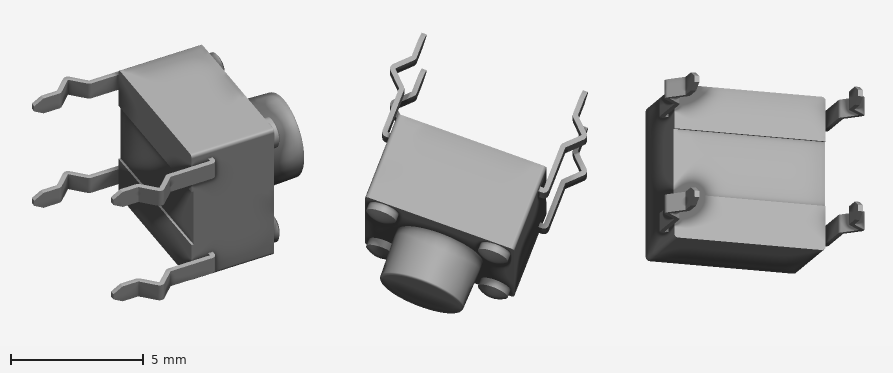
import cadquery as cq
import math


body_size = 6.0
body_height = 3.5
cover_thickness = 0.2
corner_radius = 0.15
groove_width = 2.53
groove_depth = 0.09

button_height = 2.0
button_base_radius = 1.75
button_draft = 2.0
button_edge_radius = 0.08

corner_pitch = 4.5
stud_radius = 0.6
stud_wall_height = 0.3
stud_height = 0.5

leg_span = 7.9
leg_thickness = 0.2
leg_width = 0.71
leg_outer_x = 3.35
leg_shoulder_y = 0.9
kink_y = -1.755
leg_length = 3.5
tip_length = 0.4
tip_inset = 0.23

housing_height = body_height - cover_thickness


def rounded_block(bottom_y, height):
    """Square block with rounded corner edges, standing on bottom_y."""
    return (
        cq.Workplane("XZ", origin=(0, bottom_y, 0))
        .rect(body_size, body_size)
        .extrude(-height)
        .edges("|Y")
        .fillet(corner_radius)
    )


def make_housing():
    groove = cq.Workplane("XY").box(body_size, groove_depth, groove_width, centered=(True, False, True))
    return rounded_block(0, housing_height).cut(groove)


def make_button():
    """Tapered round button with a softened top edge, standing on the cover."""
    top_y = body_height + button_height
    top_radius = button_base_radius - button_height * math.tan(math.radians(button_draft))
    return (
        cq.Workplane("YZ")
        .moveTo(body_height, 0)
        .lineTo(body_height, button_base_radius)
        .lineTo(top_y, top_radius)
        .lineTo(top_y, 0)
        .close()
        .revolve(360, (0, 0, 0), (1, 0, 0))
        .faces(">Y")
        .edges()
        .fillet(button_edge_radius)
    )


def make_stud(x, z):
    """Short round stud with a domed top, standing on the cover."""
    wall_y = body_height + stud_wall_height
    top_y = body_height + stud_height
    dome_rise = stud_height - stud_wall_height
    dome_radius = (stud_radius**2 + dome_rise**2) / (2 * dome_rise)
    half_angle = math.asin(stud_radius / dome_radius) / 2
    dome_mid_y = top_y - dome_radius * (1 - math.cos(half_angle))
    dome_mid_radius = dome_radius * math.sin(half_angle)
    return (
        cq.Workplane("YZ")
        .moveTo(body_height, 0)
        .lineTo(body_height, stud_radius)
        .lineTo(wall_y, stud_radius)
        .threePointArc((dome_mid_y, dome_mid_radius), (top_y, 0))
        .close()
        .revolve(360, (0, 0, 0), (1, 0, 0))
        .translate((x, 0, z))
    )


def make_cover():
    """Cover plate carrying the button and the four corner studs."""
    cover = rounded_block(housing_height, cover_thickness).union(make_button())
    for x in (-corner_pitch / 2, corner_pitch / 2):
        for z in (-corner_pitch / 2, corner_pitch / 2):
            cover = cover.union(make_stud(x, z))
    return cover


def around(center, angle):
    """Point one strip thickness from center; every bend is sharp inside and this round outside."""
    turn = math.radians(angle)
    return (
        center[0] + leg_thickness * math.cos(turn),
        center[1] + leg_thickness * math.sin(turn),
    )


def make_leg_blank():
    """Leg width with its tapered end, extruded through the leg's whole X range."""
    half_width = leg_width / 2
    half_tip = half_width - tip_inset
    return (
        cq.Workplane("YZ")
        .polyline(
            [
                (leg_shoulder_y, half_width),
                (tip_length - leg_length, half_width),
                (-leg_length, half_tip),
                (-leg_length, -half_tip),
                (tip_length - leg_length, -half_width),
                (leg_shoulder_y, -half_width),
            ]
        )
        .close()
        .extrude(leg_span / 2)
    )


def make_leg(side, z):
    """Leg on the +X (side = 1) or -X (side = -1) wall, centred on z."""
    wall_x = body_size / 2
    leg_inner_x = leg_outer_x - leg_thickness
    underside_y = leg_shoulder_y - leg_thickness

    shoulder = (leg_inner_x, underside_y)
    kink_peak = (leg_span / 2 - leg_thickness, kink_y)
    kink_half_height = kink_peak[0] - leg_outer_x + leg_thickness * math.sqrt(2)
    kink_top = (leg_outer_x, kink_y + kink_half_height)
    kink_bottom = (leg_outer_x, kink_y - kink_half_height)

    strip = (
        cq.Workplane("XY", origin=(0, 0, -leg_width / 2))
        .moveTo(wall_x, underside_y)
        .lineTo(wall_x, leg_shoulder_y)
        .lineTo(*around(shoulder, 90))
        .threePointArc(around(shoulder, 45), around(shoulder, 0))
        .lineTo(*kink_top)
        .lineTo(*around(kink_peak, 45))
        .threePointArc(around(kink_peak, 0), around(kink_peak, -45))
        .lineTo(*kink_bottom)
        .lineTo(leg_outer_x, -leg_length)
        .lineTo(leg_inner_x, -leg_length)
        .lineTo(*around(kink_bottom, 180))
        .threePointArc(around(kink_bottom, 157.5), around(kink_bottom, 135))
        .lineTo(*kink_peak)
        .lineTo(*around(kink_top, 225))
        .threePointArc(around(kink_top, 202.5), around(kink_top, 180))
        .lineTo(*shoulder)
        .close()
        .extrude(leg_width)
    )
    leg = strip.intersect(make_leg_blank())
    if side < 0:
        leg = leg.mirror("YZ")
    return leg.translate((0, 0, z))


housing = make_housing()
cover = make_cover()
legs = [make_leg(side, z) for side in (-1, 1) for z in (-corner_pitch / 2, corner_pitch / 2)]

result = cq.Compound.makeCompound(
    [
        housing.solids().val(),
        cover.solids().val(),
        *[leg.solids().val() for leg in legs],
    ]
)